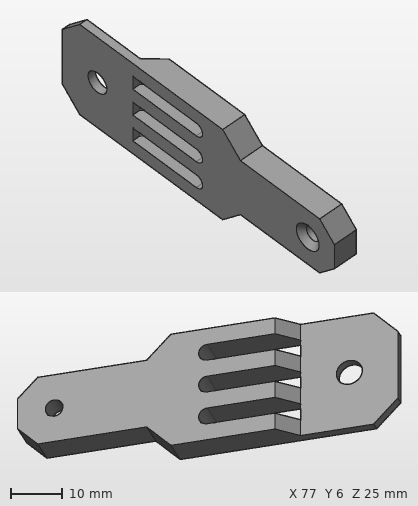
import cadquery as cq

length = 77.0
thickness = 6.0
height = 25.0

body_corner = 5.0
tongue_height = 15.0
tongue_corner = 4.15
shoulder_run = (height - tongue_height) / 2
shoulder_end = 50.4

thin_thickness = 2.0
ramp_start = 20.0
ramp_end = ramp_start + thickness - thin_thickness

slot_start = 20.0
slot_end = 39.7
slot_width = 3.55
slot_pitch = 7.15

plain_hole_x = 10.0
plain_hole_diameter = 5.3
screw_hole_x = 69.45
screw_hole_diameter = 3.6
countersink_diameter = 6.5
countersink_angle = 90.0


def make_plate():
    """Full-thickness plate; its front face lies on Y = 0 and its back on Y = thickness."""
    top = height / 2
    tongue_top = tongue_height / 2
    upper_edge = [
        (0, top - body_corner),
        (body_corner, top),
        (shoulder_end - shoulder_run, top),
        (shoulder_end, tongue_top),
        (length - tongue_corner, tongue_top),
        (length, tongue_top - tongue_corner),
    ]
    lower_edge = [(x, -z) for x, z in reversed(upper_edge)]
    outline = cq.Workplane("XZ").polyline(upper_edge + lower_edge).close()
    return outline.extrude(-thickness)


def make_back_relief():
    """Material removed from the back to leave the thin end and the ramp."""
    profile = [
        (0, thin_thickness),
        (ramp_start, thin_thickness),
        (ramp_end, thickness),
        (0, thickness),
    ]
    return cq.Workplane("XY").polyline(profile).close().extrude(height / 2, both=True)


def make_slot(z):
    """Through slot centred at height z."""
    radius = slot_width / 2
    round_x = slot_end - radius
    return (
        cq.Workplane("XZ")
        .moveTo(slot_start, z - radius)
        .lineTo(round_x, z - radius)
        .threePointArc((slot_end, z), (round_x, z + radius))
        .lineTo(slot_start, z + radius)
        .close()
        .extrude(-thickness)
    )


plate = make_plate().cut(make_back_relief())

for row in (-1, 0, 1):
    plate = plate.cut(make_slot(row * slot_pitch))

front_face = cq.Plane.XZ()
plate = plate.copyWorkplane(cq.Workplane(front_face)).center(plain_hole_x, 0).hole(plain_hole_diameter)
plate = (
    plate.copyWorkplane(cq.Workplane(front_face))
    .center(screw_hole_x, 0)
    .cskHole(screw_hole_diameter, countersink_diameter, countersink_angle)
)

result = plate